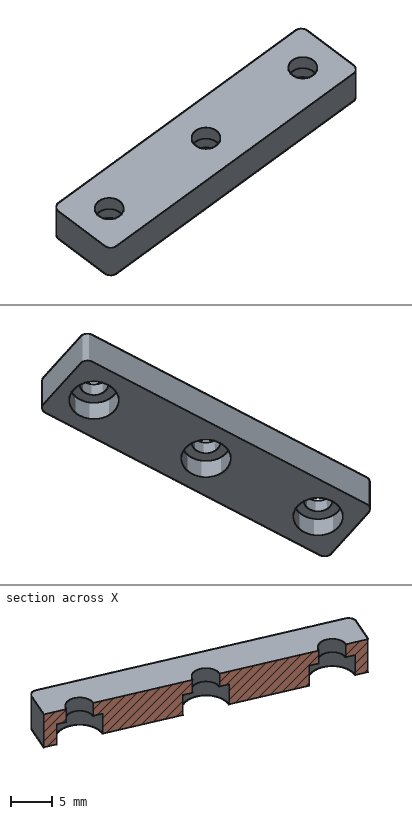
import cadquery as cq

width = 10.0
length = 42.4
thickness = 5.0
corner_radius = 1.0

hole_diameter = 3.5
hole_pitch = 16.5
counterbore_diameter = 6.0
counterbore_depth = 3.0
hole_positions = [(0, -hole_pitch), (0, 0), (0, hole_pitch)]


def make_bar():
    """Rectangular bar with rounded vertical corners, resting on Z = 0."""
    bar = cq.Workplane("XY").box(width, length, thickness, centered=(True, True, False))
    return bar.edges("|Z").fillet(corner_radius)


def drill_holes(bar):
    """Drill the row of through holes, each counterbored from the bottom face."""
    bottom = bar.faces("<Z").workplane()
    return bottom.pushPoints(hole_positions).cboreHole(hole_diameter, counterbore_diameter, counterbore_depth)


result = drill_holes(make_bar())